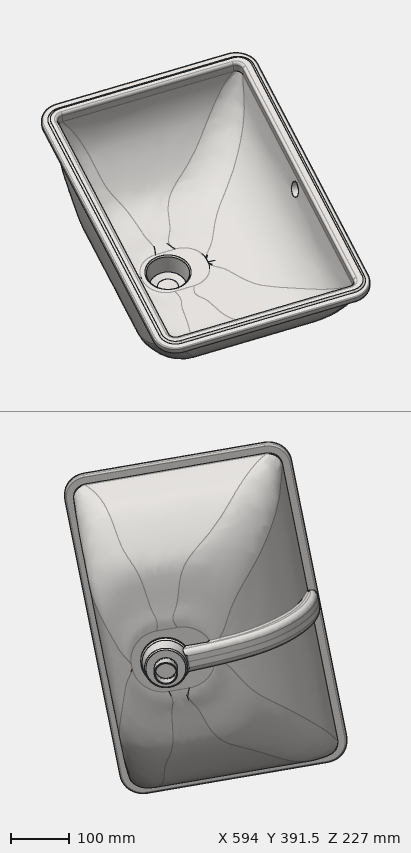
import cadquery as cq
import math


RIM_LENGTH = 594.0
RIM_WIDTH = 391.5
RIM_CORNER_RADIUS = 40.0
RIM_BOTTOM = -15.5
LEDGE_TOP = -2.5
LEDGE_EDGE_RADIUS = 2.1
LEDGE_UNDERSIDE_RADIUS = 3.0
STEP_INSET = 10.5
STEP_BACK_INSET = 7.0
STEP_SLOPE_WIDTH = 4.0
OPENING_EDGE_RADIUS = 5.5

NECK_INSET = 15.5
NECK_BOTTOM = -20.0
WALL = 12.0
OPENING_INSET = NECK_INSET + WALL
BOWL_SECTIONS = [
    (-38.5, 278.0, 176.0, -180.0, 35.0),
    (-56.5, 271.5, 171.0, -179.5, 44.5),
    (-89.0, 252.0, 155.5, -177.5, 56.5),
    (-114.5, 226.0, 134.0, -176.0, 62.5),
    (-137.0, 198.5, 106.0, -173.5, 68.0),
    (-156.0, 166.0, 71.0, -163.0, 74.0),
    (-163.0, 127.5, 48.5, -152.0, 71.0),
    (-167.0, 92.0, 31.0, -141.0, 65.5),
    (-170.0, 56.5, 15.0, -127.5, 53.5),
]
MIDDLE_SECTION = BOWL_SECTIONS[len(BOWL_SECTIONS) // 2 - 1]
BOWL_BOTTOM = BOWL_SECTIONS[-1][0]

CHANNEL_WIDTH = 41.5
CHANNEL_EDGE_RADIUS = 10.0
CHANNEL_DEPTH = 22.5
CHANNEL_BLEND_RADIUS = 3.0
CHANNEL_BACK = [(195.0, -15.5), (187.5, -65.5), (162.0, -112.0), (112.0, -156.0), (48.0, -180.0), (-29.5, -192.5)]
OVERFLOW_DIAMETER = 27.0
OVERFLOW_HEIGHT = -41.0
OVERFLOW_END_Y = 171.5

DRAIN_Y = -69.0
CUP_TOP_RADIUS = 40.5
CUP_FLARE_RADIUS = 43.0
CUP_FLARE_HEIGHT = 3.5
CUP_BOTTOM_RADIUS = 36.0
CUP_BOTTOM = -205.0
CUP_EDGE = 2.5
CUP_FLOOR_THICKNESS = 5.0
WELL_TOP_RADIUS = 37.0
WELL_EDGE_RADIUS = 2.5

DISH_DIAMETER = 63.0
DISH_HEIGHT = 7.0
DISH_SLOPE_DROP = 3.0
TAIL_DIAMETER = 40.0
TAIL_BORE = 36.0
TAIL_BOTTOM = -227.0
STOPPER_DEPTH = 9.0
STOPPER_RISE = 2.0


def rounded_prism(length, width, corner_radius, bottom, top):
    prism = cq.Workplane("XY").workplane(offset=bottom).rect(length, width).extrude(top - bottom)
    return prism.edges("|Z").fillet(corner_radius)


def rim_prism(inset, bottom, top):
    return rounded_prism(
        RIM_LENGTH - 2 * inset, RIM_WIDTH - 2 * inset, RIM_CORNER_RADIUS - inset, bottom, top
    )


def section_wire(height, half_length, back, front, corner_radius):
    sketch = cq.Sketch().rect(2 * half_length, back - front).vertices().fillet(corner_radius)
    return sketch._faces.Faces()[0].outerWire().translate(cq.Vector(0, (back + front) / 2, height))


def bowl_loft(wall):
    """Bowl shape moved inward by `wall`: sections shrink by it and the bottom rises by it."""
    depth = NECK_BOTTOM - BOWL_BOTTOM
    squash = (depth - wall) / depth
    half_length = RIM_LENGTH / 2 - NECK_INSET
    half_width = RIM_WIDTH / 2 - NECK_INSET
    neck = (NECK_BOTTOM, half_length, half_width, -half_width, RIM_CORNER_RADIUS - NECK_INSET)
    wires = []
    for height, half_x, back, front, radius in [neck] + BOWL_SECTIONS:
        raised = NECK_BOTTOM + (height - NECK_BOTTOM) * squash
        wires.append(section_wire(raised, half_x - wall, back - wall, front + wall, radius - wall))
    return cq.Workplane(obj=cq.Solid.makeLoft(wires))


def turned(profile):
    """Solid of revolution about the drain axis from (radius, height) points."""
    return (
        cq.Workplane("XZ", origin=(0, DRAIN_Y, 0))
        .polyline(profile)
        .close()
        .revolve(360, (0, 0, 0), (0, 1, 0))
    )


CUP_FLOOR = CUP_BOTTOM + CUP_FLOOR_THICKNESS
DISH_TOP = CUP_FLOOR + DISH_HEIGHT
CAVITY_BOTTOM = BOWL_BOTTOM + WALL
MID_FLOOR = BOWL_BOTTOM + WALL / 2


def make_rim():
    ledge = rim_prism(0, RIM_BOTTOM, LEDGE_TOP)
    ledge = ledge.faces(">Z").edges().fillet(LEDGE_EDGE_RADIUS)
    ledge = ledge.faces("<Z").edges().fillet(LEDGE_UNDERSIDE_RADIUS)
    back_shift = STEP_INSET - STEP_BACK_INSET
    step_outline = (
        cq.Sketch()
        .rect(RIM_LENGTH - 2 * STEP_INSET, RIM_WIDTH - STEP_INSET - STEP_BACK_INSET)
        .vertices()
        .fillet(RIM_CORNER_RADIUS - STEP_INSET)
    )
    slope = math.degrees(math.atan2(STEP_SLOPE_WIDTH, -LEDGE_TOP))
    step = (
        cq.Workplane("XY", origin=(0, back_shift / 2, LEDGE_TOP))
        .placeSketch(step_outline)
        .extrude(-LEDGE_TOP, taper=slope)
    )
    neck = rim_prism(NECK_INSET, NECK_BOTTOM, LEDGE_TOP)
    opening = rim_prism(OPENING_INSET, NECK_BOTTOM, 0)
    rim = ledge.union(neck).union(step).cut(opening)
    opening_edges = rim.faces(">Z").wires().item(1).edges()
    return rim.newObject(opening_edges.vals()).fillet(OPENING_EDGE_RADIUS)


def make_channel():
    inner_y = CHANNEL_BACK[0][0] - CHANNEL_DEPTH
    channel = (
        cq.Workplane("YZ")
        .moveTo(*CHANNEL_BACK[0])
        .spline(CHANNEL_BACK[1:], includeCurrent=True)
        .lineTo(DRAIN_Y, CHANNEL_BACK[-1][1])
        .lineTo(DRAIN_Y, MID_FLOOR)
        .lineTo(inner_y, NECK_BOTTOM)
        .lineTo(inner_y, CHANNEL_BACK[0][1])
        .close()
        .extrude(CHANNEL_WIDTH / 2, both=True)
    )
    return channel.edges("%BSPLINE").fillet(CHANNEL_EDGE_RADIUS)


def blend_channel(bowl):
    """Round the two long corners where the channel flanks meet the back of the bowl."""
    height, _, back, _, _ = MIDDLE_SECTION
    for side in (-1, 1):
        flank_point = (side * CHANNEL_WIDTH / 2, back, height)
        bowl = bowl.edges(cq.selectors.NearestToPointSelector(flank_point)).fillet(CHANNEL_BLEND_RADIUS)
    return bowl


def make_cup():
    return turned(
        [
            (0, MID_FLOOR),
            (CUP_FLARE_RADIUS, MID_FLOOR),
            (CUP_FLARE_RADIUS, BOWL_BOTTOM - CUP_FLARE_HEIGHT),
            (CUP_TOP_RADIUS, BOWL_BOTTOM - 2 * CUP_FLARE_HEIGHT),
            (CUP_BOTTOM_RADIUS, CUP_BOTTOM + CUP_EDGE),
            (CUP_BOTTOM_RADIUS - CUP_EDGE, CUP_BOTTOM),
            (0, CUP_BOTTOM),
        ]
    )


def make_well():
    """Stepped bore of the drain cup, from the bowl floor to the cup underside."""
    return turned(
        [
            (0, NECK_BOTTOM),
            (WELL_TOP_RADIUS + WELL_EDGE_RADIUS, NECK_BOTTOM),
            (WELL_TOP_RADIUS + WELL_EDGE_RADIUS, CAVITY_BOTTOM),
            (WELL_TOP_RADIUS, CAVITY_BOTTOM - WELL_EDGE_RADIUS),
            (DISH_DIAMETER / 2, DISH_TOP),
            (DISH_DIAMETER / 2, CUP_FLOOR),
            (TAIL_DIAMETER / 2, CUP_FLOOR),
            (TAIL_DIAMETER / 2, CUP_BOTTOM),
            (0, CUP_BOTTOM),
        ]
    )


def make_overflow_hole():
    """Blind hole from inside the bowl into the channel."""
    return (
        cq.Workplane("XZ", origin=(0, 0, OVERFLOW_HEIGHT))
        .circle(OVERFLOW_DIAMETER / 2)
        .extrude(-OVERFLOW_END_Y)
    )


def make_basin():
    bowl = blend_channel(bowl_loft(0).union(make_channel())).union(make_cup())
    bowl = bowl.cut(bowl_loft(WALL)).cut(make_well()).cut(make_overflow_hole())
    return make_rim().union(bowl)


def make_drain_fitting():
    """Dish that lies on the cup floor, with a tail pipe passing down through the floor."""
    return turned(
        [
            (DISH_DIAMETER / 2, DISH_TOP),
            (DISH_DIAMETER / 2, CUP_FLOOR),
            (TAIL_DIAMETER / 2, CUP_FLOOR),
            (TAIL_DIAMETER / 2, TAIL_BOTTOM),
            (TAIL_BORE / 2, TAIL_BOTTOM),
            (TAIL_BORE / 2, DISH_TOP - DISH_SLOPE_DROP),
        ]
    )


def make_stopper():
    """Plug with a low conical top that fills the mouth of the tail pipe."""
    rim_height = DISH_TOP - DISH_SLOPE_DROP
    return turned(
        [
            (0, rim_height + STOPPER_RISE),
            (TAIL_BORE / 2, rim_height),
            (TAIL_BORE / 2, rim_height - STOPPER_DEPTH),
            (0, rim_height - STOPPER_DEPTH),
        ]
    )


basin = make_basin()
drain_fitting = make_drain_fitting()
stopper = make_stopper()
result = cq.Compound.makeCompound([basin.val(), drain_fitting.val(), stopper.val()])